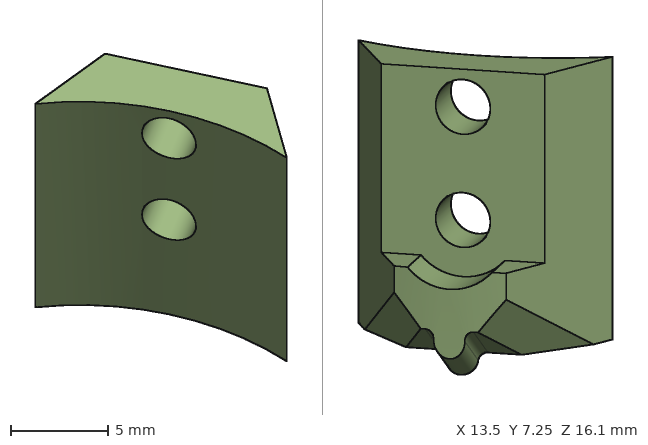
import cadquery as cq
import math

inner_radius = 16.0
front_width = 13.52
back_width = 5.96
depth = 7.25
height = 15.0

step_from_front = 4.5
foot_height = 5.0

slope_angle = 31.8
slope_start_from_front = 4.3
bevel_on_side = 1.66
bevel_on_slope = 1.25

hole_diameter = 2.9
lower_hole_height = 7.0
hole_spacing = 6.0
head_clearance_diameter = 6.0

key_width = 1.66
key_height = 1.29
key_fillet = 0.45

length_tolerance = 1e-4

front_y = math.sqrt(inner_radius**2 - (front_width / 2) ** 2)
outer_radius = front_y + depth
back_corner_y = math.sqrt(outer_radius**2 - (back_width / 2) ** 2)
step_y = front_y + step_from_front
slope_start_y = front_y + slope_start_from_front
slope_rise = math.tan(math.radians(slope_angle))


def make_segment():
    """Tapered ring segment over the full height."""
    return (
        cq.Workplane("XY")
        .moveTo(-front_width / 2, front_y)
        .threePointArc((0, inner_radius), (front_width / 2, front_y))
        .lineTo(back_width / 2, back_corner_y)
        .threePointArc((0, outer_radius), (-back_width / 2, back_corner_y))
        .close()
        .extrude(height)
    )


def make_step_cutter():
    """Block that thins the segment above the foot."""
    block = cq.Workplane("XY").box(front_width, depth, height, centered=(True, False, False))
    return block.translate((0, step_y, foot_height))


def make_slope_cutter():
    """Wedge below the sloped underside of the foot."""
    return (
        cq.Workplane("YZ")
        .moveTo(slope_start_y, 0)
        .lineTo(slope_start_y + depth, depth * slope_rise)
        .lineTo(slope_start_y + depth, 0)
        .close()
        .extrude(front_width / 2, both=True)
    )


def is_slope_side_edge(edge):
    """True for the straight edges where the slope meets the two tapered sides."""
    low, high = sorted((edge.startPoint(), edge.endPoint()), key=lambda point: point.z)
    rise = high.z - low.z
    sloped_rise = (high.y - low.y) * slope_rise
    is_rising_line = edge.geomType() == "LINE" and rise > length_tolerance
    return is_rising_line and math.isclose(rise, sloped_rise, abs_tol=length_tolerance)


def chamfer_slope_sides(body):
    """Bevel both side edges of the sloped underside."""
    edges = [edge for edge in body.edges().vals() if is_slope_side_edge(edge)]
    return body.newObject(edges).chamfer(bevel_on_side, bevel_on_slope)


def make_key():
    """Rounded key with flared root, trimmed to the convex face."""
    half = key_width / 2
    root = half + key_fillet
    arc_start = key_height - half
    midpoint_offset = key_fillet * (1 - math.sqrt(0.5))
    tilt = math.radians(slope_angle)
    plane = cq.Plane(
        origin=(0, slope_start_y, 0),
        xDir=(-1, 0, 0),
        normal=(0, math.cos(tilt), math.sin(tilt)),
    )
    bar = (
        cq.Workplane(plane)
        .moveTo(-root, 0)
        .threePointArc((-half - midpoint_offset, -midpoint_offset), (-half, -key_fillet))
        .lineTo(-half, -arc_start)
        .threePointArc((0, -key_height), (half, -arc_start))
        .lineTo(half, -key_fillet)
        .threePointArc((half + midpoint_offset, -midpoint_offset), (root, 0))
        .close()
        .extrude(depth)
    )
    envelope = cq.Workplane("XY").circle(outer_radius).extrude(height, both=True)
    return bar.intersect(envelope)


def make_cylinder_along_y(diameter, start_y, z):
    """Cutting cylinder at height z, running from start_y past the convex face."""
    return cq.Workplane("XZ", origin=(0, start_y, z)).circle(diameter / 2).extrude(-2 * depth)


body = make_segment().cut(make_slope_cutter())
body = chamfer_slope_sides(body)
body = body.cut(make_step_cutter()).union(make_key())
for hole_height in (lower_hole_height, lower_hole_height + hole_spacing):
    body = body.cut(make_cylinder_along_y(hole_diameter, front_y, hole_height))
result = body.cut(make_cylinder_along_y(head_clearance_diameter, step_y, lower_hole_height))